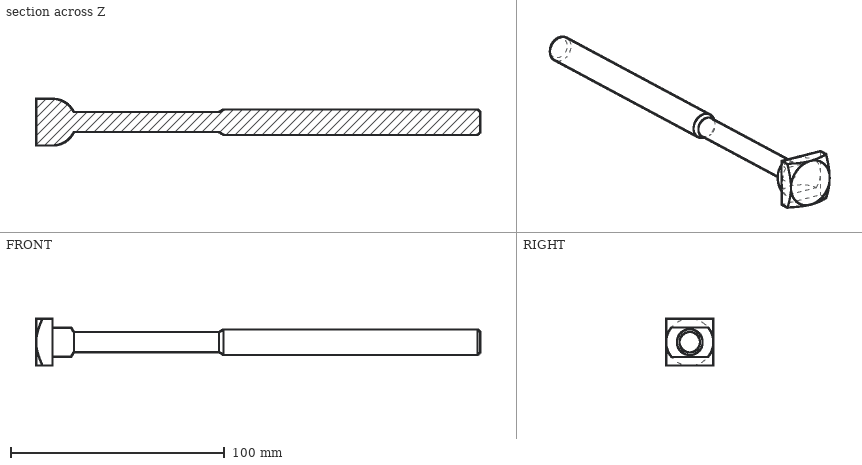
import cadquery as cq
import math

total_length = 208.0
head_width = 22.0
head_thickness = 7.7
corner_chamfer_angle = 33.0

neck_radius = head_width / 2
neck_height = 13.7

shank_radius = 9.5 / 2
end_radius = 12.0 / 2
end_start = 87.8
shoulder_length = 2.0
tip_chamfer = end_radius - shank_radius


def make_head():
    """Square head whose front corners are cut back by a cone."""
    block = cq.Workplane("YZ").rect(head_width, head_width).extrude(head_thickness)
    face_radius = head_width / 2
    corner_radius = head_width / math.sqrt(2)
    cone_depth = (corner_radius - face_radius) * math.tan(math.radians(corner_chamfer_angle))
    envelope = (
        cq.Workplane("XY")
        .moveTo(0, 0)
        .lineTo(0, face_radius)
        .lineTo(cone_depth, corner_radius)
        .lineTo(head_thickness, corner_radius)
        .lineTo(head_thickness, 0)
        .close()
        .revolve(360, (0, 0, 0), (1, 0, 0))
    )
    return block.intersect(envelope)


def make_neck():
    """Half ball seated on the back of the head, with two parallel flats."""
    ball = cq.Workplane("XY").sphere(neck_radius).translate((head_thickness, 0, 0))
    slab = (
        cq.Workplane("XY")
        .box(neck_radius, head_width, neck_height, centered=(False, True, True))
        .translate((head_thickness, 0, 0))
    )
    return ball.intersect(slab)


def make_shank():
    """Round shank with a conical shoulder, thicker end and chamfered tip."""
    return (
        cq.Workplane("XY")
        .moveTo(head_thickness, 0)
        .lineTo(head_thickness, shank_radius)
        .lineTo(end_start - shoulder_length, shank_radius)
        .lineTo(end_start, end_radius)
        .lineTo(total_length - tip_chamfer, end_radius)
        .lineTo(total_length, end_radius - tip_chamfer)
        .lineTo(total_length, 0)
        .close()
        .revolve(360, (0, 0, 0), (1, 0, 0))
    )


result = make_head().union(make_neck()).union(make_shank())